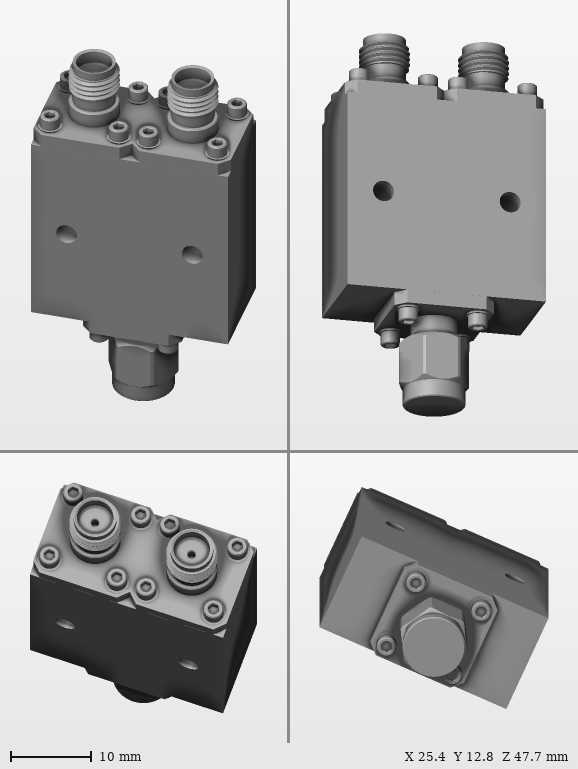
import cadquery as cq
import math

total_height = 47.7
body_bottom = 12.75

body_width = 25.4
body_depth = 12.75
body_height = 25.4
body_top = body_bottom + body_height
mount_hole_diameter = 2.65
mount_hole_offset = 8.1

flange_side = body_width / 2
flange_thickness = 1.7
flange_corner_chamfer = 1.3
connector_spacing = flange_side

screw_offset = 4.45
screw_head_diameter = 2.45
screw_height = 1.85
screw_edge_chamfer = 0.15
washer_diameter = 2.95
washer_foot_diameter = 2.65
washer_thickness = 0.3
socket_mouth_diameter = 1.53
socket_across_flats = 1.3
socket_depth = 0.95
socket_mouth_chamfer = (socket_mouth_diameter - socket_across_flats) / 2

boss_diameter = 6.35
boss_height = 2.05
boss_edge_chamfer = 0.15
barrel_diameter = 5.35
mouth_diameter = 5.1
bore_diameter = 4.55
mouth_depth = 0.12
insulator_diameter = 3.9
insulator_depth = 1.95
seat_depth = 1.75
contact_mouth_diameter = 1.2
contact_hole_diameter = 0.95
contact_mouth_depth = (contact_mouth_diameter - contact_hole_diameter) / 2
contact_hole_depth = 1.9

thread_end_gap = 1.1
thread_top = total_height - thread_end_gap
thread_length = 2.85
thread_bottom = thread_top - thread_length
thread_pitch = 0.7
thread_diameter = 6.35
thread_root_diameter = 5.65
thread_trim_diameter = 6.45
thread_end_chamfer = 0.25
thread_embed = 0.1
thread_root_half_width = 0.345
thread_crest_half_width = 0.025
thread_crest_drop = 0.315
turns_below_last_crest = 5
spare_top_turns = 2
thread_turns = turns_below_last_crest + spare_top_turns
sleeve_seam_angle = 77

neck_diameter = 5.85
nut_bottom = 2.2
nut_top = 8.45
nut_across_flats = 7.9
nut_corner_diameter = 8.9
nut_end_diameter = 7.75
nut_end_chamfer = (nut_corner_diameter - nut_end_diameter) / 2
ring_edge_chamfer = 0.15


def cylinder(diameter, bottom, height):
    return cq.Workplane("XY").workplane(offset=bottom).circle(diameter / 2).extrude(height)


def cone(bottom_diameter, top_diameter, bottom, height):
    return (
        cq.Workplane("XY")
        .workplane(offset=bottom)
        .circle(bottom_diameter / 2)
        .workplane(offset=height)
        .circle(top_diameter / 2)
        .loft()
    )


def hexagon(across_flats, bottom, height):
    across_corners = across_flats / math.cos(math.pi / 6)
    return cq.Workplane("XY").workplane(offset=bottom).polygon(6, across_corners).extrude(height)


def make_body():
    block = cq.Workplane("XY").workplane(offset=body_bottom).rect(body_width, body_depth).extrude(body_height)
    holes = (
        cq.Workplane("XZ", origin=(0, 0, body_bottom + body_height / 2))
        .pushPoints([(-mount_hole_offset, 0), (mount_hole_offset, 0)])
        .circle(mount_hole_diameter / 2)
        .extrude(body_depth, both=True)
    )
    return block.cut(holes)


def make_screw():
    """Screw standing on Z = 0 with its head pointing up."""
    washer = cone(washer_foot_diameter, washer_diameter, 0, washer_thickness)
    head = cylinder(screw_head_diameter, 0, screw_height).faces(">Z").chamfer(screw_edge_chamfer)
    socket = hexagon(socket_across_flats, screw_height - socket_depth, socket_depth)
    mouth = cone(
        socket_across_flats, socket_mouth_diameter, screw_height - socket_mouth_chamfer, socket_mouth_chamfer
    )
    return washer.union(head).cut(socket).cut(mouth)


def make_flange():
    """Flange standing on Z = 0 with a screw near each corner."""
    flange = (
        cq.Workplane("XY")
        .rect(flange_side, flange_side)
        .extrude(flange_thickness)
        .edges("|Z")
        .chamfer(flange_corner_chamfer)
    )
    screw = make_screw()
    for x in (-screw_offset, screw_offset):
        for y in (-screw_offset, screw_offset):
            flange = flange.union(screw.translate((x, y, flange_thickness)))
    return flange


def make_thread():
    """Right-hand thread on a root sleeve, bevelled at both ends."""
    sleeve = cylinder(thread_root_diameter, thread_bottom, thread_length).rotate(
        (0, 0, 0), (0, 0, 1), sleeve_seam_angle
    )
    envelope = (
        cylinder(thread_trim_diameter, thread_bottom, thread_length)
        .faces("<Z or >Z")
        .chamfer(thread_end_chamfer)
    )
    inner_radius = thread_root_diameter / 2 - thread_embed
    crest_radius = thread_diameter / 2
    start = thread_top - thread_crest_drop - turns_below_last_crest * thread_pitch
    helix = cq.Wire.makeHelix(thread_pitch, thread_turns * thread_pitch, inner_radius)
    ridge = (
        cq.Workplane("XZ")
        .polyline([
            (inner_radius, -thread_root_half_width),
            (crest_radius, -thread_crest_half_width),
            (crest_radius, thread_crest_half_width),
            (inner_radius, thread_root_half_width),
        ])
        .close()
        .sweep(cq.Workplane(helix), isFrenet=True)
        .translate((0, 0, start))
    )
    return sleeve.union(ridge.intersect(envelope))


def make_bore():
    """Stepped cavity of a top connector: flared mouth, bore, tapered seat and contact hole."""
    seat = total_height - seat_depth
    floor = total_height - insulator_depth
    contact_step = floor - contact_mouth_depth
    mouth = cone(bore_diameter, mouth_diameter, total_height - mouth_depth, mouth_depth)
    bore = cylinder(bore_diameter, seat, seat_depth)
    taper = cone(insulator_diameter, bore_diameter, floor, seat - floor)
    contact_mouth = cone(contact_hole_diameter, contact_mouth_diameter, contact_step, contact_mouth_depth)
    contact_hole = cylinder(contact_hole_diameter, floor - contact_hole_depth, contact_hole_depth)
    return mouth.union(bore).union(taper).union(contact_mouth).union(contact_hole)


def make_top_connector():
    base = body_top + flange_thickness
    boss = cylinder(boss_diameter, base, boss_height).faces(">Z").chamfer(boss_edge_chamfer)
    barrel = cylinder(barrel_diameter, base, total_height - base)
    return (
        make_flange().translate((0, 0, body_top))
        .union(boss)
        .union(barrel)
        .union(make_thread())
        .cut(make_bore())
    )


def make_bottom_connector():
    flange = make_flange().rotate((0, 0, 0), (1, 0, 0), 180).translate((0, 0, body_bottom))
    neck = cylinder(neck_diameter, nut_top, body_bottom - nut_top)
    nut_height = nut_top - nut_bottom
    corner_rounding = (
        cylinder(nut_corner_diameter, nut_bottom, nut_height)
        .faces("<Z or >Z")
        .chamfer(nut_end_chamfer)
    )
    nut = hexagon(nut_across_flats, nut_bottom, nut_height).intersect(corner_rounding)
    ring = cylinder(nut_end_diameter, 0, nut_bottom).faces("<Z").chamfer(ring_edge_chamfer)
    return flange.union(neck).union(nut).union(ring)


result = make_body().union(make_bottom_connector())
top_connector = make_top_connector()
for side in (-1, 1):
    result = result.union(top_connector.translate((side * connector_spacing / 2, 0, 0)))